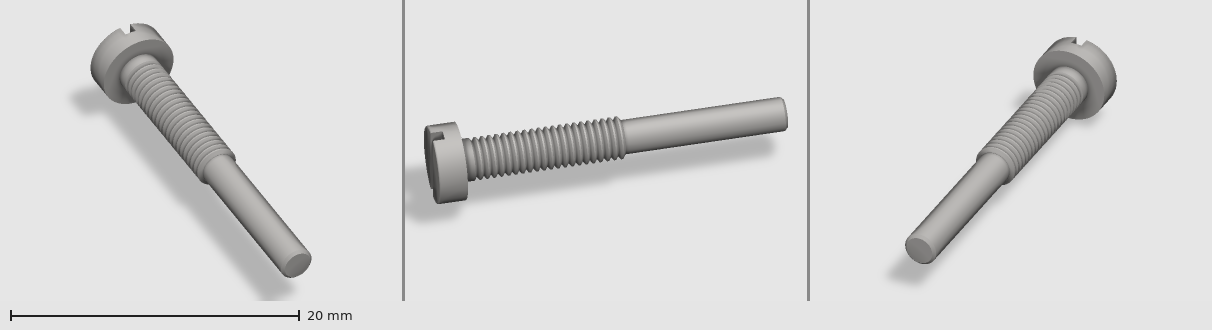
import cadquery as cq

total_length = 25.0

head_diameter = 5.5
head_length = 2.0
head_edge_radius = 0.1
slot_width = 0.8
slot_depth = 0.85

thread_diameter = 3.0
pitch = 0.5
crest_flat = 0.112
groove_depth = 0.28
groove_count = 22
first_groove = 3.0

pin_diameter = 2.4
pin_chamfer = 0.2

thread_end = first_groove + (groove_count - 1) * pitch


def rod(start, end, diameter):
    """Cylinder on the X axis between two stations."""
    return cq.Workplane("YZ", origin=(start, 0, 0)).circle(diameter / 2).extrude(end - start)


def make_head():
    """Cheese head with a rounded front rim and a slot running along Z."""
    head = rod(0, head_length, head_diameter).faces("<X").edges().fillet(head_edge_radius)
    slot = cq.Workplane("XY").box(2 * slot_depth, slot_width, head_diameter)
    return head.cut(slot)


def make_threaded_shank():
    """Revolved shank: plain neck under the head, then the ring grooves."""
    crest_radius = thread_diameter / 2
    root_radius = crest_radius - groove_depth
    groove_half_width = (pitch - crest_flat) / 2

    profile = cq.Workplane("XY").moveTo(head_length, 0).lineTo(head_length, crest_radius)
    for index in range(groove_count):
        root = first_groove + index * pitch
        profile = profile.lineTo(root - groove_half_width, crest_radius).lineTo(root, root_radius)
        if index < groove_count - 1:
            profile = profile.lineTo(root + groove_half_width, crest_radius)
    profile = profile.lineTo(thread_end, 0).close()
    return profile.revolve(360, (0, 0, 0), (1, 0, 0))


def make_pin():
    """Plain pin with a chamfered tip."""
    return rod(thread_end, total_length, pin_diameter).faces(">X").chamfer(pin_chamfer)


result = make_head().union(make_threaded_shank()).union(make_pin())